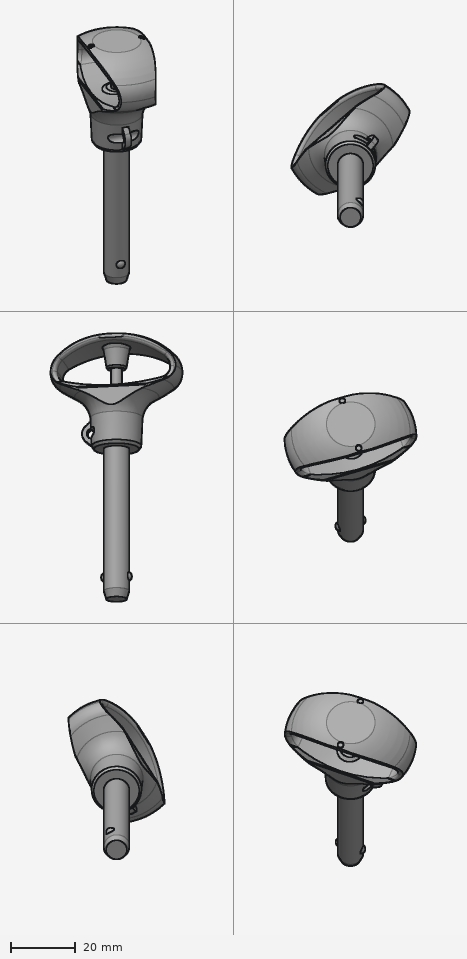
import cadquery as cq
import math


shank_length = 48.0
shank_radius = 4.0
tip_length = 2.7
tip_radius = 3.2
ball_radius = 1.5
ball_reach = 4.85
ball_height = 7.1

collar_height = 10.0
collar_base_radius = 7.7
collar_top_radius = 8.1
collar_chamfer_width = 0.7
collar_chamfer_height = 1.0

lug_x = 7.6
lug_z = 5.1
lug_radius = 3.1
lug_hole_radius = 1.55
lug_thickness = 2.0
lug_root_low = 1.2
lug_root_high = 8.9

handle_top = 35.0
handle_radius = 20.42
top_flat_radius = 7.5
crown_end = (18.3, 29.1)
crown_mid = (13.3, 32.9)
widest_z = 24.3
upper_side_mid = (19.85, 27.0)
lower_side_mid = (19.45, 21.35)
underside_start = (17.55, 19.6)
underside_end = (13.0, 16.8)
neck_mid = (9.4, 13.45)

side_arc_radius = 49.0
side_arc_peak = 9.75
slab_half_width = 9.6
neck_half_width = 8.65
neck_flat_top = 17.75
edge_break_width = 0.2
edge_break_height = 0.5
bevel_top = 20.6
bevel_angle = 41.0

clearance = 1.0

opening_half_width = 17.7
opening_widest_z = 24.3
opening_top = 32.7
opening_floor = 18.4
opening_crown_end = (16.0, 27.75)
opening_shoulder_mid = (17.3, 26.1)
opening_corner = (15.0, 20.6)
opening_corner_mid = (17.1, 22.1)
opening_rim_radius = 1.0

button_top_radius = 4.0
button_taper_top = 31.6
button_root_radius = 4.5
button_taper_bottom = 26.1
button_low_radius = 3.15
button_bottom = 25.5
button_end_radius = 2.7
stem_radius = 1.7
seat_top = 19.0
seat_low_radius = 4.5
seat_top_radius = 3.15

dimple_radius = 0.9
dimple_y = 8.35
dimple_floor = 34.4


def turned(profile):
    """Revolve an XZ half-profile about Z, with the seam on the -X side."""
    solid = profile.revolve(360, (0, 0), (0, 1))
    return solid.rotate((0, 0, 0), (0, 0, 1), 180)


def frustum(low_z, high_z, low_radius, high_radius):
    """Solid cone frustum about the Z axis."""
    profile = (
        cq.Workplane("XZ")
        .moveTo(0, low_z)
        .lineTo(low_radius, low_z)
        .lineTo(high_radius, high_z)
        .lineTo(0, high_z)
        .close()
    )
    return turned(profile)


def cylinder(low_z, high_z, radius):
    """Solid cylinder about the Z axis."""
    return frustum(low_z, high_z, radius, radius)


def make_turned_body():
    """Collar and handle blank turned about Z."""
    profile = (
        cq.Workplane("XZ")
        .lineTo(collar_base_radius - collar_chamfer_width, 0)
        .lineTo(collar_base_radius, collar_chamfer_height)
        .lineTo(collar_top_radius, collar_height)
        .threePointArc(neck_mid, underside_end)
        .lineTo(*underside_start)
        .threePointArc(lower_side_mid, (handle_radius, widest_z))
        .threePointArc(upper_side_mid, crown_end)
        .threePointArc(crown_mid, (top_flat_radius, handle_top))
        .lineTo(0, handle_top)
        .close()
    )
    return turned(profile)


def make_slab():
    """Upright slab bounded by two bowed sides."""
    end_x = handle_radius + clearance
    end_y = side_arc_peak - side_arc_radius + math.sqrt(side_arc_radius**2 - end_x**2)
    return (
        cq.Workplane("XY")
        .moveTo(-end_x, -end_y)
        .threePointArc((0, -side_arc_peak), (end_x, -end_y))
        .lineTo(end_x, end_y)
        .threePointArc((0, side_arc_peak), (-end_x, end_y))
        .close()
        .extrude(handle_top)
    )


def make_opening():
    """Oval finger opening, through along Y."""
    def mirrored(point):
        return (-point[0], point[1])

    widest = (opening_half_width, opening_widest_z)
    outline = (
        cq.Workplane("XZ")
        .moveTo(*opening_corner)
        .threePointArc(opening_corner_mid, widest)
        .threePointArc(opening_shoulder_mid, opening_crown_end)
        .threePointArc((0, opening_top), mirrored(opening_crown_end))
        .threePointArc(mirrored(opening_shoulder_mid), mirrored(widest))
        .threePointArc(mirrored(opening_corner_mid), mirrored(opening_corner))
        .threePointArc((0, opening_floor), opening_corner)
        .close()
    )
    return outline.extrude(handle_radius, both=True)


def make_side_trim():
    """Prism along X with the neck flats, the bevels above them and the ring's flats."""
    bevel_start = neck_flat_top + edge_break_height
    bevel_start_half_width = neck_half_width - edge_break_width
    bevel_inset = (bevel_top - bevel_start) * math.tan(math.radians(bevel_angle))
    bevel_end_half_width = bevel_start_half_width - bevel_inset
    half_outline = [
        (neck_half_width, 0),
        (neck_half_width, neck_flat_top),
        (bevel_start_half_width, bevel_start),
        (bevel_end_half_width, bevel_top),
        (slab_half_width, bevel_top),
        (slab_half_width, handle_top),
    ]
    other_half = [(-y, z) for y, z in reversed(half_outline)]
    outline = cq.Workplane("YZ").polyline(half_outline + other_half).close()
    return outline.extrude(handle_radius + clearance, both=True)


def make_ring_envelope():
    """Slab pierced by the finger opening, with rounded opening rims and flattened sides."""
    pierced = make_slab().cut(make_opening())
    around_opening = cq.selectors.BoxSelector(
        (-opening_half_width, -handle_radius, opening_floor - clearance),
        (opening_half_width, handle_radius, opening_top + clearance),
    )
    rims = pierced.edges(around_opening - cq.selectors.ParallelDirSelector(cq.Vector(0, 1, 0)))
    return rims.fillet(opening_rim_radius).intersect(make_side_trim())


def collar_radius(z):
    """Radius of the tapered collar at height z."""
    taper = (collar_top_radius - collar_base_radius) / (collar_height - collar_chamfer_height)
    return collar_base_radius + taper * (z - collar_chamfer_height)


def lug_tangent_point(root_z, side):
    """Where the straight flank from the collar meets the rounded end of the lug."""
    dx = collar_radius(root_z) - lug_x
    dz = root_z - lug_z
    angle = math.atan2(dz, dx) - side * math.acos(lug_radius / math.hypot(dx, dz))
    return (lug_x + lug_radius * math.cos(angle), lug_z + lug_radius * math.sin(angle))


def make_lug():
    """Tether lug: a rounded tab on the +X side of the collar."""
    return (
        cq.Workplane("XZ")
        .moveTo(0, lug_root_low)
        .lineTo(collar_radius(lug_root_low), lug_root_low)
        .lineTo(*lug_tangent_point(lug_root_low, -1))
        .threePointArc((lug_x + lug_radius, lug_z), lug_tangent_point(lug_root_high, 1))
        .lineTo(collar_radius(lug_root_high), lug_root_high)
        .lineTo(0, lug_root_high)
        .close()
        .extrude(lug_thickness / 2, both=True)
    )


def make_lug_hole():
    """Tether hole, through along Y."""
    return (
        cq.Workplane("XZ")
        .center(lug_x, lug_z)
        .circle(lug_hole_radius)
        .extrude(handle_radius, both=True)
    )


def make_shank():
    """Round shank with a tapered tip and two locking balls along X."""
    shank = cylinder(tip_length - shank_length, 0, shank_radius)
    shank = shank.union(frustum(-shank_length, tip_length - shank_length, tip_radius, shank_radius))
    for side in (-1, 1):
        ball = cq.Workplane("XY").sphere(ball_radius)
        ball_x = side * (ball_reach - ball_radius)
        shank = shank.union(ball.translate((ball_x, 0, ball_height - shank_length)))
    return shank


def make_button():
    """Tapered push button hanging from the crown, with its stem and stem seat."""
    buried_z = (opening_top + handle_top) / 2
    button = cylinder(opening_floor - clearance, button_bottom, stem_radius)
    button = button.union(frustum(button_bottom, button_taper_bottom, button_end_radius, button_low_radius))
    button = button.union(frustum(button_taper_bottom, button_taper_top, button_low_radius, button_top_radius))
    button = button.union(frustum(button_taper_top, opening_top, button_top_radius, button_root_radius))
    button = button.union(cylinder(opening_top, buried_z, button_root_radius))
    seat = frustum(opening_floor, seat_top, seat_low_radius, seat_top_radius)
    return button.union(seat)


def make_dimples():
    """Two round dimples in the crown, one at each side."""
    dimple = cylinder(dimple_floor, handle_top, dimple_radius)
    return dimple.translate((0, dimple_y, 0)).union(dimple.translate((0, -dimple_y, 0)))


handle = make_turned_body().intersect(make_ring_envelope())
handle = handle.union(make_lug()).cut(make_lug_hole())
handle = handle.cut(make_dimples())
result = handle.union(make_button()).union(make_shank())